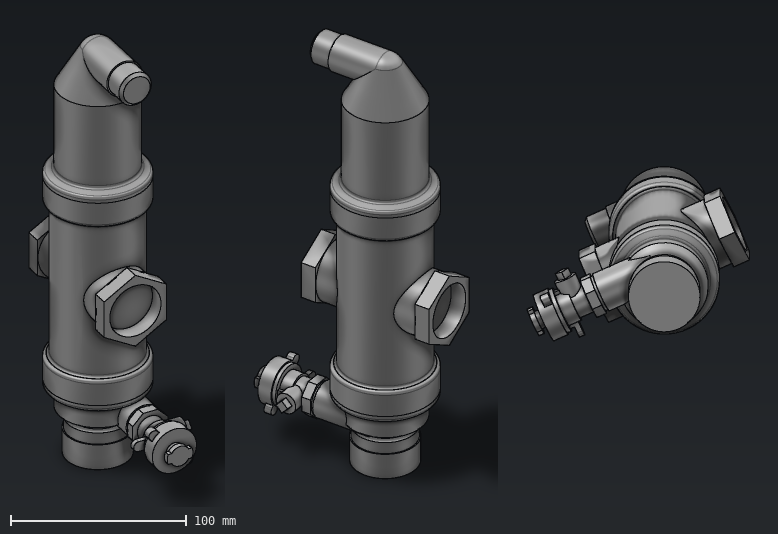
import cadquery as cq
import math

OVERALL_HEIGHT = 275.3

BODY_RADIUS = 27.8
FLANGE_RADIUS = 31.52
PORT_HEIGHT = 116.5
HOUSING_HALF_HEIGHT = 67.2
FLANGE_DEPTH = 16.5
FLANGE_ROUND = 2.2
BODY_FILLET = 1.7

PORT_REACH = 44.0
PORT_TUBE_DIAMETER = 40.0
PORT_HEX_FLATS = 40.7
PORT_HEX_LENGTH = 10.0
PORT_BORE_DIAMETER = 33.3
PORT_BORE_DEPTH = 10.0

SHELL_RADIUS = 25.0
SHOULDER_EDGE = 3.5
SHOULDER_RISE = 2.8
SHOULDER_ROUND = 2.2
SHELL_FILLET = 2.2

CONE_START = 244.0
ELBOW_DIAMETER = 23.0
ELBOW_LENGTH = 31.5
SPIGOT_DIAMETER = 21.2
SPIGOT_END = 45.7
SPIGOT_CHAMFER = 2.0

THREAD_DIAMETER = 40.7
THREAD_LENGTH = 16.5
NECK_DIAMETER = 39.0
NECK_TOP = 24.0
BOWL_BOTTOM = 30.8
BOWL_CONE_RADIUS = 15.1

VALVE_Y = 10.7
VALVE_Z = 34.0
STUB_DIAMETER = 23.0
STUB_END = 34.7
COLLAR_DIAMETER = 21.2
COLLAR_END = 36.3
OCTAGON_FLATS = 23.0
OCTAGON_END = 42.5
BARREL_DIAMETER = 17.0
BARREL_END = 51.2
SLEEVE_DIAMETER = 20.0
SLEEVE_END = 59.0
COLLAR_RING_DIAMETER = 27.0
COLLAR_RING_END = 61.5
NUT_DIAMETER = 29.0
NUT_END = 70.5
TIP_DIAMETER = 11.0
TIP_END = 73.8
DISC_DIAMETER = 13.0
DISC_END = 77.0
DISC_EAR_DIAMETER = 16.8
TAB_WIDTH = 6.5

LUG_ANGLE = 180.0
LUG_START = 53.0
LUG_LENGTH = 3.3
LUG_REACH = 18.7
PAD_ANGLES = (0.0, 180.0)
PAD_REACH = 11.5
KEY_ANGLES = (135.0, -45.0)
KEY_LENGTH = 5.0
KEY_REACH = 19.0

SPINDLE_X = 49.8
SPINDLE_DIAMETER = 13.2
SPINDLE_REACH = 16.2
SQUARE_DIAGONAL = 8.3
SQUARE_REACH = 20.6

LOWER_JOINT = PORT_HEIGHT - HOUSING_HALF_HEIGHT
UPPER_JOINT = PORT_HEIGHT + HOUSING_HALF_HEIGHT
ELBOW_RADIUS = ELBOW_DIAMETER / 2
ELBOW_Z = OVERALL_HEIGHT - ELBOW_RADIUS


def x_cylinder(diameter, start, end, y=0.0, z=0.0):
    """Cylinder along X between two X positions."""
    return cq.Workplane("YZ", origin=(start, y, z)).circle(diameter / 2).extrude(end - start)


def x_polygon(sides, flats, start, end, z=0.0):
    """Regular prism along X, sized across flats, with a flat facing -Y."""
    half_side_angle = 180 / sides
    across_corners = flats / math.cos(math.radians(half_side_angle))
    prism = cq.Workplane("YZ").polygon(sides, across_corners).extrude(end - start)
    return prism.rotate((0, 0, 0), (1, 0, 0), half_side_angle).translate((start, 0, z))


def z_cylinder(radius, bottom, top):
    """Cylinder on the Z axis between two heights."""
    return cq.Workplane("XY", origin=(0, 0, bottom)).circle(radius).extrude(top - bottom)


def turned(outline):
    """Full revolution about Z of an outline drawn in the XZ plane."""
    return outline.close().revolve(360, (0, 0, 0), (0, 1, 0))


def make_flange():
    """Flange with its joint face at Z = 0, rounded and blended into the tube above."""
    round_start = FLANGE_DEPTH - FLANGE_ROUND
    blend_end = FLANGE_DEPTH + BODY_FILLET
    return turned(
        cq.Workplane("XZ")
        .lineTo(FLANGE_RADIUS, 0)
        .lineTo(FLANGE_RADIUS, round_start)
        .radiusArc((FLANGE_RADIUS - FLANGE_ROUND, FLANGE_DEPTH), -FLANGE_ROUND)
        .lineTo(BODY_RADIUS + BODY_FILLET, FLANGE_DEPTH)
        .radiusArc((BODY_RADIUS, blend_end), BODY_FILLET)
        .lineTo(0, blend_end)
    )


def make_port():
    """Port on the -X side: round tube ending in a hexagon."""
    tube = x_cylinder(PORT_TUBE_DIAMETER, -PORT_REACH, 0, z=PORT_HEIGHT)
    hexagon = x_polygon(6, PORT_HEX_FLATS, -PORT_REACH, PORT_HEX_LENGTH - PORT_REACH, PORT_HEIGHT)
    return tube.union(hexagon)


def make_housing():
    flange = make_flange()
    housing = z_cylinder(BODY_RADIUS, LOWER_JOINT, UPPER_JOINT)
    housing = housing.union(flange.translate((0, 0, LOWER_JOINT)))
    housing = housing.union(flange.mirror("XY").translate((0, 0, UPPER_JOINT)))
    port = make_port()
    bore = x_cylinder(PORT_BORE_DIAMETER, -PORT_REACH, PORT_BORE_DEPTH - PORT_REACH, z=PORT_HEIGHT)
    housing = housing.union(port).union(port.mirror("YZ"))
    return housing.cut(bore).cut(bore.mirror("YZ"))


def make_shoulder():
    """Sloped shoulder with its joint face at Z = 0, rounded outside and blended inside."""
    slope = math.atan2(SHOULDER_RISE, FLANGE_RADIUS - SHELL_RADIUS)
    half_turn = (math.pi / 2 - slope) / 2
    round_setback = SHOULDER_ROUND * math.tan(half_turn)
    blend_setback = SHELL_FILLET * math.tan(half_turn)
    slope_top = SHOULDER_EDGE + SHOULDER_RISE
    blend_end = slope_top + blend_setback
    return turned(
        cq.Workplane("XZ")
        .lineTo(FLANGE_RADIUS, 0)
        .lineTo(FLANGE_RADIUS, SHOULDER_EDGE - round_setback)
        .radiusArc(
            (
                FLANGE_RADIUS - round_setback * math.cos(slope),
                SHOULDER_EDGE + round_setback * math.sin(slope),
            ),
            -SHOULDER_ROUND,
        )
        .lineTo(
            SHELL_RADIUS + blend_setback * math.cos(slope),
            slope_top - blend_setback * math.sin(slope),
        )
        .radiusArc((SHELL_RADIUS, blend_end), SHELL_FILLET)
        .lineTo(0, blend_end)
    )


def make_dome():
    """Cone that runs tangent into a dome centred on the outlet axis."""
    drop = ELBOW_Z - CONE_START
    base_distance = math.hypot(SHELL_RADIUS, drop)
    tangent_angle = math.acos(ELBOW_RADIUS / base_distance) - math.atan2(drop, SHELL_RADIUS)
    tangent_radius = ELBOW_RADIUS * math.cos(tangent_angle)
    tangent_height = ELBOW_Z + ELBOW_RADIUS * math.sin(tangent_angle)
    return turned(
        cq.Workplane("XZ")
        .moveTo(0, CONE_START)
        .lineTo(SHELL_RADIUS, CONE_START)
        .lineTo(tangent_radius, tangent_height)
        .radiusArc((0, OVERALL_HEIGHT), -ELBOW_RADIUS)
    )


def make_outlet():
    elbow = x_cylinder(ELBOW_DIAMETER, 0, ELBOW_LENGTH, z=ELBOW_Z)
    spigot = x_cylinder(SPIGOT_DIAMETER, 0, SPIGOT_END, z=ELBOW_Z)
    return elbow.union(spigot.faces(">X").chamfer(SPIGOT_CHAMFER))


def make_cap():
    shell = z_cylinder(SHELL_RADIUS, UPPER_JOINT, CONE_START)
    cap = shell.union(make_shoulder().translate((0, 0, UPPER_JOINT)))
    return cap.union(make_dome()).union(make_outlet())


def make_sump():
    bowl = turned(
        cq.Workplane("XZ")
        .lineTo(THREAD_DIAMETER / 2, 0)
        .lineTo(THREAD_DIAMETER / 2, THREAD_LENGTH)
        .lineTo(NECK_DIAMETER / 2, THREAD_LENGTH)
        .lineTo(NECK_DIAMETER / 2, NECK_TOP)
        .lineTo(BOWL_CONE_RADIUS, NECK_TOP)
        .lineTo(SHELL_RADIUS, BOWL_BOTTOM)
        .lineTo(SHELL_RADIUS, LOWER_JOINT)
        .lineTo(0, LOWER_JOINT)
    )
    shoulder = make_shoulder().mirror("XY").translate((0, 0, LOWER_JOINT))
    stub = x_cylinder(STUB_DIAMETER, 0, STUB_END, VALVE_Y, VALVE_Z)
    return bowl.union(shoulder).union(stub)


def make_valve_barrel():
    """Stepped barrel with an octagon near its inner end."""
    steps = (
        (COLLAR_DIAMETER, STUB_END, COLLAR_END),
        (BARREL_DIAMETER, COLLAR_END, BARREL_END),
        (SLEEVE_DIAMETER, BARREL_END, SLEEVE_END),
        (COLLAR_RING_DIAMETER, SLEEVE_END, COLLAR_RING_END),
        (NUT_DIAMETER, COLLAR_RING_END, NUT_END),
        (TIP_DIAMETER, NUT_END, TIP_END),
        (DISC_DIAMETER, TIP_END, DISC_END),
    )
    barrel = x_polygon(8, OCTAGON_FLATS, COLLAR_END, OCTAGON_END)
    for diameter, start, end in steps:
        barrel = barrel.union(x_cylinder(diameter, start, end))
    return barrel


def make_disc_ears():
    """Pair of rounded ears on opposite sides of the end disc."""
    band = cq.Workplane("YZ", origin=(TIP_END, 0, 0)).rect(DISC_EAR_DIAMETER, TAB_WIDTH)
    return band.extrude(DISC_END - TIP_END).intersect(x_cylinder(DISC_EAR_DIAMETER, TIP_END, DISC_END))


def radial_bar(angle, reach, start, length):
    """Square-ended bar from the valve axis, pointing along the given angle."""
    bar = cq.Workplane("YZ", origin=(start, 0, 0)).center(reach / 2, 0)
    return bar.rect(reach, TAB_WIDTH).extrude(length).rotate((0, 0, 0), (1, 0, 0), angle)


def radial_tab(angle, reach, start, length):
    """Round-ended bar from the valve axis, pointing along the given angle."""
    tip_centre = reach - TAB_WIDTH / 2
    tip = x_cylinder(TAB_WIDTH, start, start + length, y=tip_centre)
    return radial_bar(angle, tip_centre, start, length).union(tip.rotate((0, 0, 0), (1, 0, 0), angle))


def make_spindle():
    """Round spindle along +Y that ends in a square standing on its corner."""
    centre = cq.Workplane("XZ", origin=(SPINDLE_X, 0, 0))
    spindle = centre.circle(SPINDLE_DIAMETER / 2).extrude(-SPINDLE_REACH)
    return spindle.union(centre.polygon(4, SQUARE_DIAGONAL).extrude(-SQUARE_REACH))


def make_drain_valve():
    valve = make_valve_barrel().union(make_disc_ears()).union(make_spindle())
    valve = valve.union(radial_tab(LUG_ANGLE, LUG_REACH, LUG_START, LUG_LENGTH))
    for angle in PAD_ANGLES:
        valve = valve.union(radial_bar(angle, PAD_REACH, LUG_START, SLEEVE_END - LUG_START))
    for angle in KEY_ANGLES:
        valve = valve.union(radial_tab(angle, KEY_REACH, COLLAR_RING_END, KEY_LENGTH))
    return valve.translate((0, VALVE_Y, VALVE_Z))


housing = make_housing()
cap = make_cap()
sump = make_sump()
drain_valve = make_drain_valve()
result = cq.Compound.makeCompound([housing.val(), cap.val(), sump.val(), drain_valve.val()])